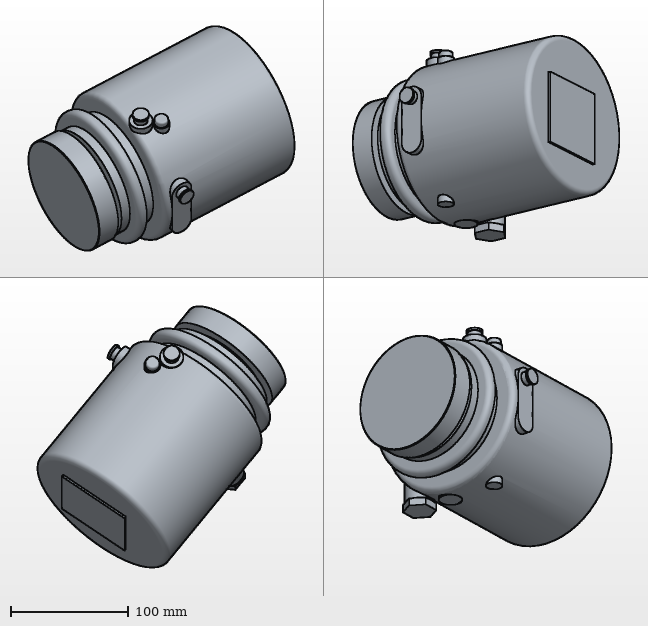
import cadquery as cq


head_diameter = 104.0
head_end = 20.0
head_chamfer = 0.5
groove_diameter = 80.0
groove_end = 25.0
collar_diameter = 100.0
ring_start = 33.9
ring_diameter = 125.0
ring_end = 45.0
ring_rounding = 4.7
shoulder_diameter = 106.0
body_start = 56.1
body_diameter = 140.0
body_end = 195.0
body_rounding = 5.0
body_radius = body_diameter / 2

overall_length = 197.0
plate_width = 66.5
plate_center_x = 6.7
plate_top = 26.8
plate_bottom = -37.0

boss_diameter = 20.0
neck_diameter = 12.0
flange_diameter = 14.0
flange_thickness = 2.2
plug_reach = 77.8
plug_offset = 19.9
top_plug_y = 67.0
side_plug_y = 73.9

button_x = 29.5
button_y = 81.5
button_base_diameter = 14.0
button_base_reach = 66.4
button_cap_diameter = 12.0
button_cap_reach = 72.1
button_rounding = 1.8

gland_x = -46.3
gland_y = 74.9
gland_diameter = 26.0
nut_across_corners = 29.0
nut_top = -63.2

lower_boss_x = -11.8
lower_boss_y = side_plug_y


def turned(diameter, start, end):
    """Cylinder on the main axis between two Y positions."""
    return cq.Workplane("XZ", origin=(0, start, 0)).circle(diameter / 2).extrude(start - end)


def upright(x, y, diameter, start, end):
    """Vertical cylinder between two Z positions."""
    return cq.Workplane("XY", origin=(x, y, start)).circle(diameter / 2).extrude(end - start)


def plug_tip():
    """Neck and flange rising along Z from the main axis."""
    neck = upright(0, 0, neck_diameter, 0, plug_reach)
    flange = upright(0, 0, flange_diameter, plug_reach - flange_thickness, plug_reach)
    return neck.union(flange)


def make_housing():
    head = turned(head_diameter, 0, head_end).faces("<Y").chamfer(head_chamfer)
    ring = turned(ring_diameter, ring_start, ring_end).edges().fillet(ring_rounding)
    body = turned(body_diameter, body_start, body_end).edges().fillet(body_rounding)
    return (
        body.union(turned(shoulder_diameter, ring_end, body_start))
        .union(ring)
        .union(turned(collar_diameter, groove_end, ring_start))
        .union(turned(groove_diameter, head_end, groove_end))
        .union(head)
    )


def make_rear_plate():
    height = plate_top - plate_bottom
    center_z = (plate_top + plate_bottom) / 2
    return (
        cq.Workplane("XZ", origin=(plate_center_x, body_end, center_z))
        .rect(plate_width, height)
        .extrude(body_end - overall_length)
    )


def make_top_plug():
    boss = upright(plug_offset, top_plug_y, boss_diameter, 0, body_radius)
    return boss.union(plug_tip().translate((plug_offset, top_plug_y, 0)))


def make_side_plug():
    """Elongated pad on the +X side with one plug near its upper end."""
    pad_length = 2 * plug_offset + boss_diameter
    pad = (
        cq.Workplane("YZ", origin=(0, side_plug_y, 0))
        .slot2D(pad_length, boss_diameter, 90)
        .extrude(body_radius)
    )
    tip = plug_tip().rotate((0, 0, 0), (0, 1, 0), 90)
    return pad.union(tip.translate((0, side_plug_y, plug_offset)))


def make_button():
    base = upright(button_x, button_y, button_base_diameter, -button_base_reach, button_base_reach)
    cap = upright(button_x, button_y, button_cap_diameter, 0, button_cap_reach)
    return base.union(cap.faces(">Z").edges().fillet(button_rounding))


def make_gland():
    stem = upright(gland_x, gland_y, gland_diameter, nut_top, 0)
    nut = (
        cq.Workplane("XY", origin=(gland_x, gland_y, nut_top))
        .transformed(rotate=(0, 0, 90))
        .polygon(6, nut_across_corners)
        .extrude(-body_radius - nut_top)
    )
    return stem.union(nut)


def make_lower_boss():
    return upright(lower_boss_x, lower_boss_y, boss_diameter, -body_radius, 0)


result = (
    make_housing()
    .union(make_rear_plate())
    .union(make_top_plug())
    .union(make_side_plug())
    .union(make_button())
    .union(make_gland())
    .union(make_lower_boss())
)